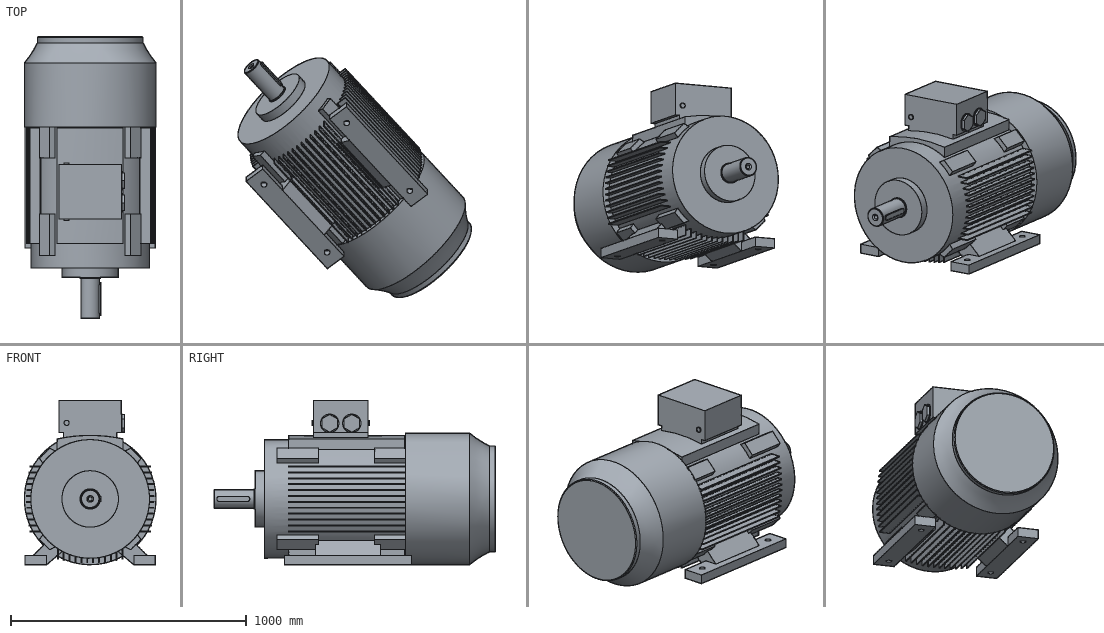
import cadquery as cq
import math


axis_height = 280.0
overlap = 2.0

shaft_radius = 40.0
shaft_length = 170.0
shaft_chamfer = 3.0
collar_radius = 43.0
collar_front = 0.0
center_hole_radius = 8.5
center_hole_depth = 50.0
center_countersink_radius = 14.0
center_countersink_depth = 5.0
key_width = 22.0
key_top = 45.0
key_length = 140.0
key_center_y = -87.0

hub_radius = 120.0
hub_front = 5.5
body_radius = 252.0
shield_front = 45.0
ribs_front = 148.0
ribs_rear = 640.0

cover_radius = axis_height
cover_front = 643.0
cover_taper_start = 916.0
cover_taper_end = 1001.0
cover_rear = 1027.0
cover_rear_radius = 225.0
cover_taper_bulge = 4.0
cover_rear_chamfer = 4.0

rib_crown = 270.0
rib_edge = 255.0
rib_half_span = 140.0
fin_count = 12
fin_pitch = 25.0
fin_thickness = 4.0

lug_angle = 45.0
lug_outer_distance = 274.0
lug_outer_half_width = 30.8
lug_side_flare_angle = 8.0
lug_pad_flare_angle = 18.0
lug_root_distance = 235.0
front_lug_span = (97.5, 275.0)
rear_lug_span = (513.0, cover_front + overlap)

foot_inner_x = 185.0
foot_outer_x = 277.0
foot_thickness = 40.0
foot_length = 540.0
foot_hole_spacing_x = 457.0
foot_hole_spacing_y = 419.0
foot_hole_diameter = 24.0
first_foot_hole_y = 190.0
foot_center_y = first_foot_hole_y + foot_hole_spacing_y / 2
strut_length = 277.0
strut_outer_x = 242.0
strut_root_top = (150.0, -148.0)
strut_root_bottom = (115.0, -220.0)

box_width = 265.0
box_length = 233.0
box_center_y = 369.0
box_bottom = 281.0
box_top = 418.0
neck_width = 227.0
neck_bottom = rib_edge
screw_x = -100.0
screw_z = 323.0
screw_radius = 11.0
screw_height = 5.0
gland_spacing = 94.0
gland_z = 321.0
gland_ring_radius = 39.0
gland_ring_height = 3.0
gland_hex_flats = 66.0
gland_hex_height = 11.0
hex_turn = 90.0


def extrude_along_y(sketch, start, end):
    """Extrude a closed sketch, drawn on the XZ plane, from Y = start to Y = end."""
    return sketch.extrude(start - end).translate((0, start, 0))


def span_box(x_range, y_range, z_range):
    """Make a box from its limits along each axis."""
    corner = (x_range[0], y_range[0], z_range[0])
    size = [limits[1] - limits[0] for limits in (x_range, y_range, z_range)]
    return cq.Workplane("XY").box(*size, centered=False).translate(corner)


def make_turned_body():
    """Shaft, collar, hub, housing and fan cover as one turned shape."""
    taper_middle = (
        (cover_radius + cover_rear_radius) / 2 - cover_taper_bulge,
        (cover_taper_start + cover_taper_end) / 2,
    )
    profile = (
        cq.Workplane("XY")
        .moveTo(0, -shaft_length)
        .lineTo(shaft_radius - shaft_chamfer, -shaft_length)
        .lineTo(shaft_radius, -shaft_length + shaft_chamfer)
        .lineTo(shaft_radius, collar_front)
        .lineTo(collar_radius, collar_front)
        .lineTo(collar_radius, hub_front)
        .lineTo(hub_radius, hub_front)
        .lineTo(hub_radius, shield_front)
        .lineTo(body_radius, shield_front)
        .lineTo(body_radius, cover_front)
        .lineTo(cover_radius, cover_front)
        .lineTo(cover_radius, cover_taper_start)
        .threePointArc(taper_middle, (cover_rear_radius, cover_taper_end))
        .lineTo(cover_rear_radius, cover_rear - cover_rear_chamfer)
        .lineTo(cover_rear_radius - cover_rear_chamfer, cover_rear)
        .lineTo(0, cover_rear)
        .close()
    )
    return profile.revolve(360, (0, 0, 0), (0, 1, 0))


def make_center_hole():
    """Drilled and countersunk hole in the end of the shaft."""
    profile = (
        cq.Workplane("XY")
        .moveTo(0, -shaft_length)
        .lineTo(center_countersink_radius, -shaft_length)
        .lineTo(center_hole_radius, -shaft_length + center_countersink_depth)
        .lineTo(center_hole_radius, -shaft_length + center_hole_depth)
        .lineTo(0, -shaft_length + center_hole_depth)
        .close()
    )
    return profile.revolve(360, (0, 0, 0), (0, 1, 0))


def make_key():
    """Round-ended parallel key on the +X side of the shaft."""
    outline = cq.Workplane("YZ").center(key_center_y, 0).slot2D(key_length, key_width)
    return outline.extrude(key_top)


def make_top_pad():
    """Crowned pad on top of the housing; its outline also bounds the fins."""
    outline = (
        cq.Workplane("XZ")
        .moveTo(-rib_half_span, 0)
        .lineTo(-rib_half_span, rib_edge)
        .threePointArc((0, rib_crown), (rib_half_span, rib_edge))
        .lineTo(rib_half_span, 0)
        .close()
    )
    return extrude_along_y(outline, ribs_front, ribs_rear)


def make_top_fins():
    """A bank of upright fins, cut to the outline of the top pad."""
    bank = cq.Workplane("XY")
    for index in range(fin_count):
        x = (index - (fin_count - 1) / 2) * fin_pitch
        x_range = (x - fin_thickness / 2, x + fin_thickness / 2)
        bank = bank.add(span_box(x_range, (ribs_front, ribs_rear), (0, rib_crown)))
    return bank.combine().intersect(make_top_pad())


def make_lug(y_span):
    """Flared lug on the diagonal between +X and +Z of the housing."""
    height = lug_outer_distance - lug_root_distance
    pad_flare = height * math.tan(math.radians(lug_pad_flare_angle))
    side_flare = height * math.tan(math.radians(lug_side_flare_angle))
    outline = (
        cq.Workplane("XZ")
        .moveTo(-lug_outer_half_width - pad_flare, lug_root_distance)
        .lineTo(-lug_outer_half_width, lug_outer_distance)
        .lineTo(lug_outer_half_width, lug_outer_distance)
        .lineTo(lug_outer_half_width + side_flare, lug_root_distance)
        .close()
    )
    return extrude_along_y(outline, *y_span).rotate((0, 0, 0), (0, 1, 0), lug_angle)


def make_foot():
    """Foot on the +X side: drilled plate and slanted strut."""
    plate_top = foot_thickness - axis_height
    plate_y = (foot_center_y - foot_length / 2, foot_center_y + foot_length / 2)
    plate = span_box((foot_inner_x, foot_outer_x), plate_y, (-axis_height, plate_top))
    strut_outline = (
        cq.Workplane("XZ")
        .moveTo(foot_inner_x, -axis_height)
        .lineTo(strut_outer_x, -axis_height)
        .lineTo(strut_outer_x, plate_top)
        .lineTo(*strut_root_top)
        .lineTo(*strut_root_bottom)
        .close()
    )
    strut_y = (foot_center_y - strut_length / 2, foot_center_y + strut_length / 2)
    holes = (
        cq.Workplane("XY", origin=(foot_hole_spacing_x / 2, foot_center_y, -axis_height))
        .rarray(1, foot_hole_spacing_y, 1, 2)
        .circle(foot_hole_diameter / 2)
        .extrude(foot_thickness)
    )
    return plate.union(extrude_along_y(strut_outline, *strut_y)).cut(holes)


def make_terminal_box():
    """Terminal box with its neck, end screws and two cable glands on the +X side."""
    box_y = (box_center_y - box_length / 2, box_center_y + box_length / 2)
    box = span_box((-box_width / 2, box_width / 2), box_y, (box_bottom, box_top))
    neck = span_box((-neck_width / 2, neck_width / 2), box_y, (neck_bottom, box_bottom))
    screw_y = (box_y[0] - screw_height, box_y[1] + screw_height)
    screw_outline = cq.Workplane("XZ").center(screw_x, screw_z).circle(screw_radius)
    box = box.union(neck).union(extrude_along_y(screw_outline, *screw_y))
    for side in (-1, 1):
        gland_y = box_center_y + side * gland_spacing / 2
        gland = (
            cq.Workplane("YZ", origin=(box_width / 2, gland_y, gland_z))
            .circle(gland_ring_radius)
            .extrude(gland_ring_height)
            .faces(">X")
            .workplane()
            .transformed(rotate=(0, 0, hex_turn))
            .polygon(6, gland_hex_flats / math.cos(math.pi / 6))
            .extrude(gland_hex_height)
        )
        box = box.union(gland)
    return box


result = make_turned_body().union(make_key()).cut(make_center_hole())
result = result.union(make_top_pad())

top_fins = make_top_fins()
for fin_bank_angle in (90, 180, 270):
    result = result.union(top_fins.rotate((0, 0, 0), (0, 1, 0), fin_bank_angle))

for lug_span in (front_lug_span, rear_lug_span):
    lug = make_lug(lug_span)
    upper_lugs = lug.union(lug.mirror("YZ"))
    result = result.union(upper_lugs).union(upper_lugs.mirror("XY"))

foot = make_foot()
result = result.union(foot).union(foot.mirror("YZ"))
result = result.union(make_terminal_box())